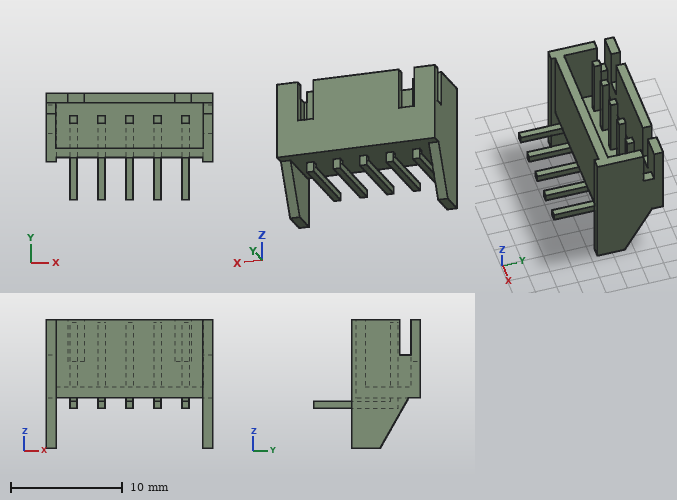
import cadquery as cq


PIN_COUNT = 5
PIN_PITCH = 2.5
PIN_SIZE = 0.64
PIN_ROW_Y = -2.37
PIN_TIP_Y = -9.55
PIN_TIP_Z = -0.22
PIN_LEG_BOTTOM_Z = -7.92

LENGTH = 14.9
BOX_HEIGHT = 7.0
BOX_FRONT_Y = -5.77
REAR_WALL = 0.85
FRONT_WALL = 0.85
SIDE_WALL = 0.87
FLOOR_THICKNESS = 1.0

PLATE_THICKNESS = 0.92
PLATE_HEIGHT = 11.5
PLATE_FRONT_Y = -6.15
PLATE_SHOULDER_Y = -1.05
PLATE_TOE_Y = -3.6

END_SLOT_WIDTH = 0.98
END_SLOT_DEPTH = 3.14

NOTCH_WIDTH = 1.46
NOTCH_DEPTH = 3.7
NOTCH_OFFSET = 4.77


def block(x_min, x_max, y_min, y_max, z_min, z_max):
    """Box given by its limits along each axis."""
    size = (x_max - x_min, y_max - y_min, z_max - z_min)
    return cq.Workplane("XY").box(*size, centered=False).translate((x_min, y_min, z_min))


def end_plate(x_min):
    """Plate in the YZ plane with a sloped rear edge below the box."""
    outline = [
        (0, 0),
        (0, -BOX_HEIGHT),
        (PLATE_SHOULDER_Y, -BOX_HEIGHT),
        (PLATE_TOE_Y, -PLATE_HEIGHT),
        (PLATE_FRONT_Y, -PLATE_HEIGHT),
        (PLATE_FRONT_Y, 0),
    ]
    return cq.Workplane("YZ", origin=(x_min, 0, 0)).polyline(outline).close().extrude(PLATE_THICKNESS)


def cavity():
    """Open pocket that receives the mating plug."""
    half_width = LENGTH / 2 - SIDE_WALL
    floor_z = FLOOR_THICKNESS - BOX_HEIGHT
    return block(-half_width, half_width, BOX_FRONT_Y + FRONT_WALL, -REAR_WALL, floor_z, 0)


def end_slots():
    """One cut along X that opens both end walls."""
    return block(-LENGTH / 2, LENGTH / 2, -REAR_WALL - END_SLOT_WIDTH, -REAR_WALL, -END_SLOT_DEPTH, 0)


def rear_notch(x_centre):
    """Notch down from the rim through the rear wall."""
    x_min = x_centre - NOTCH_WIDTH / 2
    return block(x_min, x_min + NOTCH_WIDTH, -REAR_WALL, 0, -NOTCH_DEPTH, 0)


def pin(x_centre):
    """Square L-shaped pin: upright leg through the floor, horizontal leg toward -Y."""
    x_min = x_centre - PIN_SIZE / 2
    x_max = x_min + PIN_SIZE
    y_max = PIN_ROW_Y + PIN_SIZE / 2
    upright = block(x_min, x_max, y_max - PIN_SIZE, y_max, PIN_LEG_BOTTOM_Z, PIN_TIP_Z)
    horizontal = block(x_min, x_max, PIN_TIP_Y, y_max, PIN_LEG_BOTTOM_Z, PIN_LEG_BOTTOM_Z + PIN_SIZE)
    return upright.union(horizontal)


housing = block(-LENGTH / 2, LENGTH / 2, BOX_FRONT_Y, 0, -BOX_HEIGHT, 0)
for plate_x in (-LENGTH / 2, LENGTH / 2 - PLATE_THICKNESS):
    housing = housing.union(end_plate(plate_x))
housing = housing.cut(cavity()).cut(end_slots())
for notch_x in (-NOTCH_OFFSET, NOTCH_OFFSET):
    housing = housing.cut(rear_notch(notch_x))

result = housing
for index in range(PIN_COUNT):
    result = result.union(pin((index - (PIN_COUNT - 1) / 2) * PIN_PITCH))